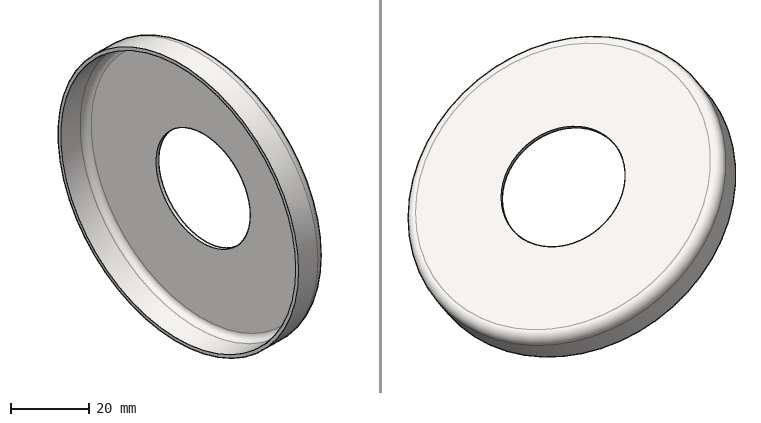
import cadquery as cq

outer_diameter = 87.0
height = 10.0
wall = 1.05
bore_diameter = 34.0
outer_corner_radius = 3.05

inner_corner_radius = outer_corner_radius - wall


def round_disc(diameter, length, corner_radius):
    """Disc along Y from the open rim at Y = 0, with its far edge rounded."""
    disc = cq.Workplane("XZ").circle(diameter / 2).extrude(-length)
    return disc.faces(">Y").edges().fillet(corner_radius)


shell = round_disc(outer_diameter, height, outer_corner_radius)
cavity = round_disc(outer_diameter - 2 * wall, height - wall, inner_corner_radius)

bore = cq.Workplane("XZ").circle(bore_diameter / 2).extrude(-height)

result = shell.cut(cavity).cut(bore)